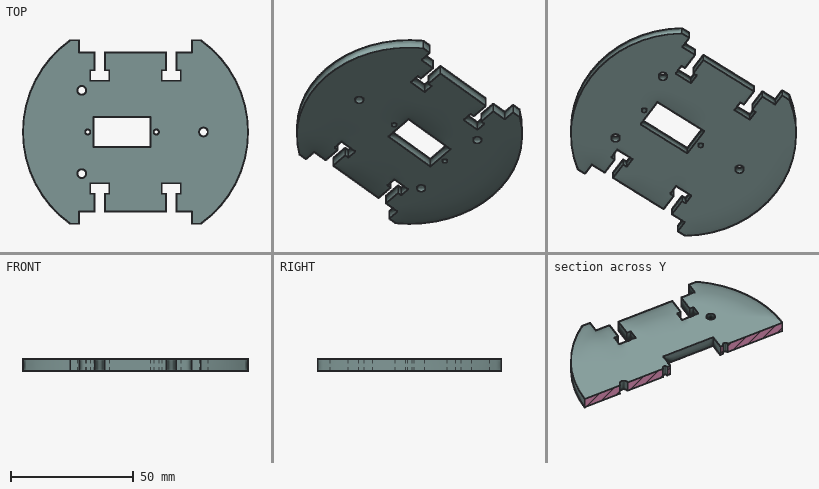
import cadquery as cq
import math

disc_radius = 46.0
plate_width = 75.0
thickness = 5.0

notch_length = 46.0
notch_depth = 5.0

slot_spacing = 29.2
screw_slot_width = 4.1
screw_slot_depth = 7.3
nut_width = 7.6
nut_depth = 4.2

servo_x = -5.5
servo_length = 23.2
servo_width = 12.2
servo_hole_spacing = 28.0
servo_hole_diameter = 2.0

mount_hole_diameter = 3.5
front_mount_x = 27.75
rear_mount_x = -21.95
rear_mount_spacing = 34.0

half_width = plate_width / 2
notch_floor_y = half_width - notch_depth


def make_plate():
    """Disc trimmed by flat sides at +Y and -Y, leaving one arc at each X end."""
    flat_end_x = math.sqrt(disc_radius**2 - half_width**2)
    return (
        cq.Workplane("XY")
        .moveTo(-flat_end_x, -half_width)
        .lineTo(flat_end_x, -half_width)
        .threePointArc((disc_radius, 0), (flat_end_x, half_width))
        .lineTo(-flat_end_x, half_width)
        .threePointArc((-disc_radius, 0), (-flat_end_x, -half_width))
        .close()
        .extrude(thickness)
    )


def box_between(x_center, length, y_low, y_high):
    """Full-thickness box centred on x_center and spanning y_low to y_high."""
    return (
        cq.Workplane("XY")
        .center(x_center, (y_low + y_high) / 2)
        .rect(length, y_high - y_low)
        .extrude(thickness)
    )


def make_side_cutter():
    """Notch and its two T-slots on the +Y side."""
    nut_outer_y = notch_floor_y - screw_slot_depth
    nut_inner_y = nut_outer_y - nut_depth
    cutter = box_between(0, notch_length, notch_floor_y, half_width)
    for slot_x in (-slot_spacing / 2, slot_spacing / 2):
        screw_slot = box_between(slot_x, screw_slot_width, nut_outer_y, notch_floor_y)
        nut_pocket = box_between(slot_x, nut_width, nut_inner_y, nut_outer_y)
        cutter = cutter.union(screw_slot).union(nut_pocket)
    return cutter


def make_holes(points, diameter):
    """Full-thickness round cutters at the given XY points."""
    return cq.Workplane("XY").pushPoints(points).circle(diameter / 2).extrude(thickness)


servo_window = box_between(servo_x, servo_length, -servo_width / 2, servo_width / 2)
servo_hole_points = [
    (servo_x - servo_hole_spacing / 2, 0),
    (servo_x + servo_hole_spacing / 2, 0),
]
mount_hole_points = [
    (front_mount_x, 0),
    (rear_mount_x, rear_mount_spacing / 2),
    (rear_mount_x, -rear_mount_spacing / 2),
]

side_cutter = make_side_cutter()
result = (
    make_plate()
    .cut(side_cutter)
    .cut(side_cutter.mirror("XZ"))
    .cut(servo_window)
    .cut(make_holes(servo_hole_points, servo_hole_diameter))
    .cut(make_holes(mount_hole_points, mount_hole_diameter))
)